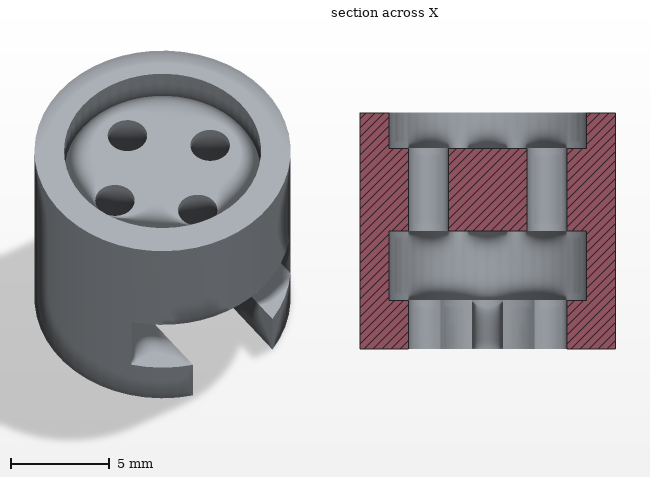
import cadquery as cq

diameter = 13.0
height = 12.0

recess_diameter = 10.0
recess_depth = 1.8

hole_diameter = 2.0
hole_circle_radius = 3.0
hole_count = 4

neck_width = 5.0
head_width = 2 * neck_width
neck_height = 2.5
head_top = 5.99
radius = diameter / 2


def slot_cutter(width, bottom, top):
    """Channel from the axis out past +X, with a full-round inner end."""
    channel = (
        cq.Workplane("XY", origin=(0, 0, bottom))
        .rect(diameter, width)
        .extrude(top - bottom)
        .translate((radius, 0, 0))
    )
    inner_end = cq.Workplane("XY", origin=(0, 0, bottom)).circle(width / 2).extrude(top - bottom)
    return channel.union(inner_end)


body = cq.Workplane("XY").circle(radius).extrude(height)

recess = (
    cq.Workplane("XY", origin=(0, 0, height - recess_depth))
    .circle(recess_diameter / 2)
    .extrude(recess_depth)
)

holes = (
    cq.Workplane("XY")
    .polarArray(hole_circle_radius, 0, 360, hole_count)
    .circle(hole_diameter / 2)
    .extrude(height)
)

neck = slot_cutter(neck_width, 0, neck_height)
head = slot_cutter(head_width, neck_height, head_top)

result = body.cut(recess).cut(holes).cut(neck).cut(head)